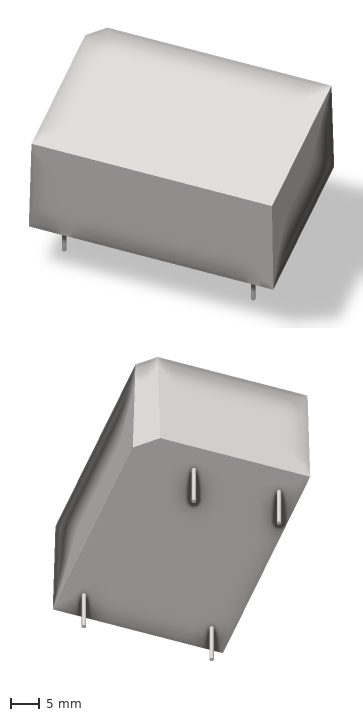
import cadquery as cq

case_length = 45.97
case_width = 32.0
case_height = 21.0
draft_angle = 1.0
corner_cut = 3.8

pin_diameter = 0.8
pin_length = 8.13
pin_row_x = 17.75
outer_pin_y = 12.0
inner_pin_y = 4.0
pin_positions = [
    (-pin_row_x, -outer_pin_y),
    (-pin_row_x, inner_pin_y),
    (pin_row_x, -outer_pin_y),
    (pin_row_x, outer_pin_y),
]


def make_case():
    """Block with drafted sides and one corner cut off by a vertical face."""
    block = cq.Workplane("XY").rect(case_length, case_width).extrude(case_height, taper=draft_angle)
    corner_x = -case_length / 2
    corner_y = case_width / 2
    corner = (
        cq.Workplane("XY")
        .moveTo(corner_x, corner_y)
        .lineTo(corner_x + corner_cut, corner_y)
        .lineTo(corner_x, corner_y - corner_cut)
        .close()
        .extrude(case_height)
    )
    return block.cut(corner)


def make_pins():
    """Pins hanging from the underside of the case."""
    return cq.Workplane("XY").pushPoints(pin_positions).circle(pin_diameter / 2).extrude(-pin_length)


result = make_case().union(make_pins())